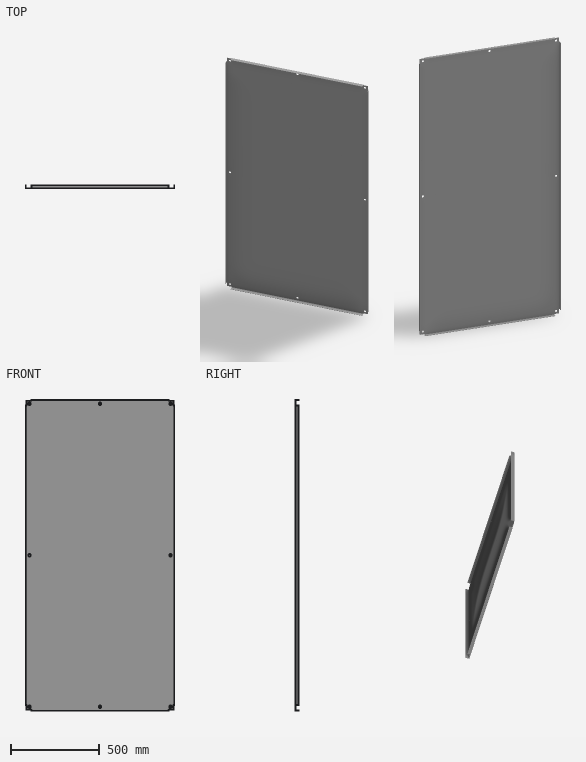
import cadquery as cq
width = 838.2
depth = 19.05
height = 1752.6
thickness = 1.9
inner_bend_radius = 0.8
corner_length = 31.75
tab_setback_x = 4.2
tab_setback_z = 5.0
hole_diameter = 13.0
hole_inset = 22.225

outer_bend_radius = inner_bend_radius + thickness
side_flange_span = height - 2 * corner_length
end_flange_span = width - 2 * corner_length


def sheet_rectangle(x_size, z_size):
    """Flat rectangle of sheet centred on the Y axis, with its front face at y = 0."""
    return cq.Workplane("XY").box(x_size, thickness, z_size).translate((0, thickness / 2, 0))


def make_sheet():
    """Flat sheet: four corner tabs, with the sides between them carried out to the bend starts."""
    corner_tabs = sheet_rectangle(width - 2 * tab_setback_x, height - 2 * tab_setback_z)
    side_strips = sheet_rectangle(width - 2 * outer_bend_radius, side_flange_span)
    end_strips = sheet_rectangle(end_flange_span, height - 2 * outer_bend_radius)
    return corner_tabs.union(side_strips).union(end_strips)


def make_flange(outer_offset, span):
    """Rounded bend and flange on the +X side: outer face at x = outer_offset, centred on z = 0."""
    bend_start = outer_offset - outer_bend_radius
    return (
        cq.Workplane("XY", origin=(bend_start, 0, -span / 2))
        .moveTo(0, 0)
        .radiusArc((outer_bend_radius, outer_bend_radius), -outer_bend_radius)
        .lineTo(outer_bend_radius, depth)
        .lineTo(inner_bend_radius, depth)
        .lineTo(inner_bend_radius, outer_bend_radius)
        .radiusArc((0, thickness), inner_bend_radius)
        .close()
        .extrude(span)
    )


def add_flanges(sheet):
    """Join a flange to each of the four sides."""
    side_flange = make_flange(width / 2, side_flange_span)
    end_flange = make_flange(height / 2, end_flange_span).rotate((0, 0, 0), (0, 1, 0), 90)
    panel = sheet
    for flange in (side_flange, end_flange):
        opposite_flange = flange.rotate((0, 0, 0), (0, 1, 0), 180)
        panel = panel.union(flange).union(opposite_flange)
    return panel


def cut_holes(panel):
    """Round mounting holes through the sheet at the corners and at the middle of each side."""
    x_hole = width / 2 - hole_inset
    z_hole = height / 2 - hole_inset
    centres = [
        (x, z)
        for x in (-x_hole, 0, x_hole)
        for z in (-z_hole, 0, z_hole)
        if (x, z) != (0, 0)
    ]
    drills = (
        cq.Workplane("XZ", origin=(0, depth, 0))
        .pushPoints(centres)
        .circle(hole_diameter / 2)
        .extrude(depth)
    )
    return panel.cut(drills)


result = cut_holes(add_flanges(make_sheet()))